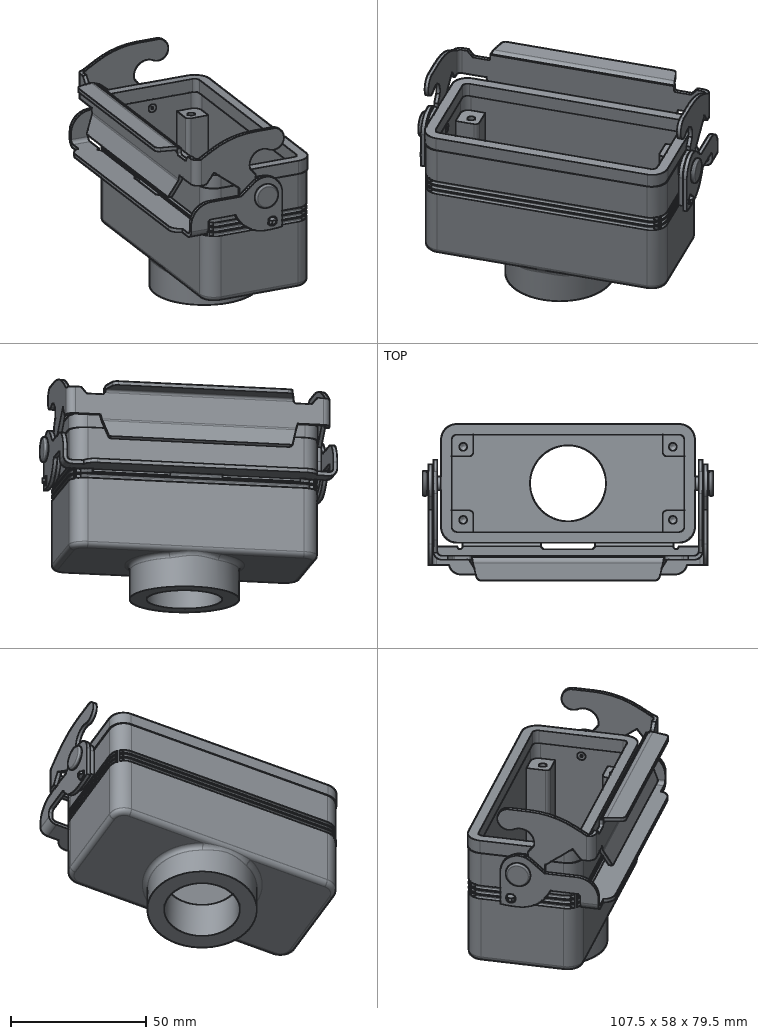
import cadquery as cq
import math


BODY_LENGTH = 93.5
BODY_WIDTH = 43.5
BODY_BOTTOM = 13.0
CORNER_RADIUS = 6.0
BOTTOM_FILLET = 2.0
WALL = 3.0

RIM_STEP = 0.25
RIM_TOP = 63.6
RIM_HEIGHT = 5.3
RIM_WALL = 4.0

ENTRY_DIAMETER = 40.5
ENTRY_BORE = 28.0
ENTRY_FLARE = 1.9

GROOVE_COUNT = 3
GROOVE_PITCH = 2.0
GROOVE_WIDTH = 1.5
GROOVE_DEPTH = 0.95
GROOVE_FILLET = 0.45
TOP_GROOVE_Z = 43.95

POST_SPACING_X = 77.5
POST_SPACING_Y = 27.0
POST_INNER_X = 35.0
POST_INNER_Y = 10.0
POST_TOP = RIM_TOP - 12.0
POST_FILLET = 1.6
SCREW_HOLE_DIAMETER = 2.9
SCREW_HOLE_DEPTH = 10.0
DRILL_POINT_ANGLE = 118.0

SELECTION_MARGIN = 0.1

SHEET = 1.5
BEND_OUTER = 3.0
BEND_INNER = BEND_OUTER - SHEET
PIVOT_Z = 54.5

PIN_DIAMETER = 5.2
PIN_TIP_DIAMETER = 3.2
PIN_CENTRE_DIAMETER = 0.8
PIN_CENTRE_DEPTH = 0.5
PIN_HEAD_DIAMETER = 9.4
PIN_HEAD_THICKNESS = 1.65
PIN_HEAD_FILLET = 0.7
PIN_END_X = 53.75

LEVER_OUTER_X = 49.75
LEVER_FRONT_Y = -28.2
LEVER_TOP = 79.5
LEVER_WEB_TOP = 72.05
LEVER_WEB_BOTTOM = 61.95
LEVER_TIP_RADIUS = 4.3
LEVER_TIP_Y = 4.45
LEVER_CREST_Y = -3.6
LEVER_CREST_RADIUS = 34.5
LEVER_SLOPE = 30.0
LEVER_HOOK_RADIUS = 5.35
LEVER_HOOK_Z = 66.75
LEVER_EYE_RADIUS = 6.4
LEVER_HOOK_START = 60.0
LEVER_HOOK_END = 195.0
LEVER_WEB_FOOT_Y = -23.2
LEVER_NICK_Y = -20.0
LEVER_NICK_Z = 66.1
LEVER_BACK_Y = -9.4
LEVER_BACK_TOP = 57.95
LEVER_LOBE_TOP = 52.7
LEVER_LOBE_MIDDLE = (-6.5, 45.2)
LEVER_THROAT_Y = -2.9
LEVER_THROAT_TOP = 62.5
LEVER_LOBE_BOTTOM = 42.3

FLANGE_TIP_Y = -35.98
FLANGE_TOP = 72.9
FLANGE_BEND_INNER = 1.1
FLANGE_BEND_OUTER = FLANGE_BEND_INNER + SHEET
FLANGE_ROOT_X = 35.7
FLANGE_TIP_X = 33.6
FLANGE_TIP_FILLET = 2.0

SCALLOP_BOTTOM = 69.6
SCALLOP_TOP_X = 44.5
SCALLOP_OUTER_X = 42.4
SCALLOP_FILLET = 0.8

SKIRT_BEND_Z = 59.9
SKIRT_BOTTOM = 52.3
SKIRT_ANGLE = 25.6
SKIRT_ROOT_X = 37.2
SKIRT_TIP_X = 34.4
SKIRT_TIP_FILLET = 1.5

BRACKET_OUTER_X = 51.65
BRACKET_EYE_RADIUS = 7.1
BRACKET_EYE_END = 132.0
BRACKET_BOTTOM = 40.3
BRACKET_BACK_BOTTOM = 40.7
BRACKET_LOBE_START_Y = -12.0
BRACKET_LOBE_MIDDLE = (-5.8, 41.8)
BRACKET_ARM_START_Y = -9.85
BRACKET_ARM_TOP = 55.5
BRACKET_ARM_BOTTOM = 48.6
BRACKET_ARM_RADIUS = 8.0
BRACKET_ARM_FILLET = 1.3
HANDLE_BOTTOM = 42.1
HANDLE_BACK_Y = -23.3
HANDLE_SIDE_Y = -30.25
HANDLE_FRONT_Y = -33.75
HANDLE_FRONT_X = 39.5
HANDLE_STEP_X = 44.0
NOTCH_X = 39.95
NOTCH_RADIUS = 0.9
FINGER_SLOT_HALF = 9.9
FINGER_SLOT_Y = -24.3
FINGER_SLOT_CHAMFER = 0.8
LIP_TIP_Y = -21.85
LIP_BOTTOM = 41.2
LIP_DROP = 1.1

STOP_Y = 3.1
STOP_Z = 43.5
STOP_WIDTH = 3.0
STOP_HEIGHT = 1.45
STOP_CHAMFER = 0.8
STOP_END_X = 52.9
STOP_HOLE_DIAMETER = 3.7


def rounded_block(length, width, radius, bottom, top):
    """Block centred on the Z axis with rounded vertical edges."""
    block = cq.Workplane("XY", origin=(0, 0, bottom)).rect(length, width).extrude(top - bottom)
    return block.edges("|Z").fillet(radius)


def box_between(low, high):
    """Axis-aligned box between two opposite corners."""
    size = [b - a for a, b in zip(low, high)]
    return cq.Workplane("XY", origin=low).box(*size, centered=False)


def across(outline, half_width):
    """Extrude a YZ outline to both sides of the X = 0 plane."""
    return outline.extrude(half_width, both=True)


def both_sides(shape):
    """The shape together with its mirror image about X = 0."""
    return [shape, shape.mirror("YZ")]


def rod(diameter, start_x, end_x, y=0.0, z=PIVOT_Z):
    """Cylinder parallel to X."""
    return cq.Workplane("YZ", origin=(start_x, y, z)).circle(diameter / 2).extrude(end_x - start_x)


RIM_BOTTOM = RIM_TOP - RIM_HEIGHT
RIM_LENGTH = BODY_LENGTH + 2 * RIM_STEP
RIM_WIDTH = BODY_WIDTH + 2 * RIM_STEP
CAVITY_LENGTH = BODY_LENGTH - 2 * WALL
CAVITY_WIDTH = BODY_WIDTH - 2 * WALL
CAVITY_FLOOR = BODY_BOTTOM + WALL
CAVITY_RADIUS = CORNER_RADIUS - WALL


def entry_joint():
    """Selector for the edges where the round cable entry meets the underside of the body."""
    reach = ENTRY_DIAMETER / 2 + SELECTION_MARGIN
    return cq.selectors.BoxSelector(
        (-reach, -reach, BODY_BOTTOM - SELECTION_MARGIN),
        (reach, reach, BODY_BOTTOM + BOTTOM_FILLET / 2),
        boundingbox=True,
    )


def sealing_groove(centre_z):
    """Ring-shaped cutter for one groove around the body."""
    low = centre_z - GROOVE_WIDTH / 2
    high = centre_z + GROOVE_WIDTH / 2
    core = rounded_block(
        BODY_LENGTH - 2 * GROOVE_DEPTH,
        BODY_WIDTH - 2 * GROOVE_DEPTH,
        CORNER_RADIUS - GROOVE_DEPTH,
        low,
        high,
    )
    slab = cq.Workplane("XY", origin=(0, 0, low)).rect(RIM_LENGTH, RIM_WIDTH).extrude(GROOVE_WIDTH)
    ring = slab.cut(core)
    inner = cq.selectors.BoxSelector(
        (-BODY_LENGTH / 2 + GROOVE_DEPTH / 2, -BODY_WIDTH / 2 + GROOVE_DEPTH / 2, low - SELECTION_MARGIN),
        (BODY_LENGTH / 2 - GROOVE_DEPTH / 2, BODY_WIDTH / 2 - GROOVE_DEPTH / 2, high + SELECTION_MARGIN),
        boundingbox=True,
    )
    return ring.faces("<Z or >Z").edges(inner).fillet(GROOVE_FILLET)


def screw_post():
    """Corner post for a contact insert, reaching into the cavity corner."""
    post = box_between(
        (POST_INNER_X, POST_INNER_Y, CAVITY_FLOOR),
        (CAVITY_LENGTH / 2 + WALL / 2, CAVITY_WIDTH / 2 + WALL / 2, POST_TOP),
    )
    post = post.edges("|Z and <X and <Y").fillet(POST_FILLET)
    envelope = rounded_block(BODY_LENGTH, BODY_WIDTH, CORNER_RADIUS, CAVITY_FLOOR, POST_TOP)
    radius = SCREW_HOLE_DIAMETER / 2
    point = radius / math.tan(math.radians(DRILL_POINT_ANGLE / 2))
    hole = (
        cq.Workplane("XZ")
        .polyline([(0, 0), (radius, 0), (radius, -SCREW_HOLE_DEPTH), (0, -SCREW_HOLE_DEPTH - point)])
        .close()
        .revolve(360, (0, 0, 0), (0, 1, 0))
        .translate((POST_SPACING_X / 2, POST_SPACING_Y / 2, POST_TOP))
    )
    return post.intersect(envelope).cut(hole)


def make_housing():
    body = rounded_block(BODY_LENGTH, BODY_WIDTH, CORNER_RADIUS, BODY_BOTTOM, RIM_TOP)
    body = body.faces("<Z").edges().fillet(BOTTOM_FILLET)
    body = body.union(cq.Workplane("XY").circle(ENTRY_DIAMETER / 2).extrude(CAVITY_FLOOR))
    body = body.edges(entry_joint()).fillet(ENTRY_FLARE)
    body = body.union(rounded_block(RIM_LENGTH, RIM_WIDTH, CORNER_RADIUS, RIM_BOTTOM, RIM_TOP))
    for index in range(GROOVE_COUNT):
        body = body.cut(sealing_groove(TOP_GROOVE_Z - index * GROOVE_PITCH))

    body = body.cut(rounded_block(CAVITY_LENGTH, CAVITY_WIDTH, CAVITY_RADIUS, CAVITY_FLOOR, RIM_BOTTOM))
    body = body.cut(
        rounded_block(
            RIM_LENGTH - 2 * RIM_WALL,
            RIM_WIDTH - 2 * RIM_WALL,
            CORNER_RADIUS - RIM_WALL,
            CAVITY_FLOOR,
            RIM_TOP,
        )
    )
    body = body.cut(cq.Workplane("XY").circle(ENTRY_BORE / 2).extrude(RIM_TOP))

    for post in both_sides(screw_post()):
        body = body.union(post).union(post.mirror("XZ"))
    return body.cut(rod(PIN_TIP_DIAMETER, -BODY_LENGTH, BODY_LENGTH))


LEVER_INNER_Y = LEVER_FRONT_Y + SHEET


def lever_side_outline():
    """Side profile of the lever: hook, pivot eye and the end of the front web."""
    tip_z = LEVER_TOP - LEVER_TIP_RADIUS
    slope = math.radians(LEVER_SLOPE)

    def crest(angle):
        return (
            LEVER_CREST_Y - LEVER_CREST_RADIUS * math.sin(angle),
            LEVER_TOP - LEVER_CREST_RADIUS * (1 - math.cos(angle)),
        )

    def hook(angle):
        angle = math.radians(angle)
        return (LEVER_HOOK_RADIUS * math.cos(angle), LEVER_HOOK_Z + LEVER_HOOK_RADIUS * math.sin(angle))

    crest_end = crest(slope)
    web_start_y = crest_end[0] - (crest_end[1] - LEVER_WEB_TOP) / math.tan(slope)
    eye_turn = LEVER_EYE_RADIUS * math.sqrt(0.5)
    hook_middle = (LEVER_HOOK_START + LEVER_HOOK_END) / 2
    return (
        cq.Workplane("YZ")
        .moveTo(LEVER_TIP_Y, LEVER_TOP)
        .lineTo(LEVER_CREST_Y, LEVER_TOP)
        .threePointArc(crest(slope / 2), crest_end)
        .lineTo(web_start_y, LEVER_WEB_TOP)
        .lineTo(LEVER_FRONT_Y, LEVER_WEB_TOP)
        .lineTo(LEVER_FRONT_Y, LEVER_WEB_BOTTOM)
        .lineTo(LEVER_WEB_FOOT_Y, LEVER_WEB_BOTTOM)
        .lineTo(LEVER_NICK_Y, LEVER_NICK_Z)
        .lineTo(LEVER_BACK_Y, LEVER_BACK_TOP)
        .lineTo(LEVER_BACK_Y, LEVER_LOBE_TOP)
        .threePointArc(LEVER_LOBE_MIDDLE, (0, LEVER_LOBE_BOTTOM))
        .lineTo(LEVER_EYE_RADIUS, LEVER_LOBE_BOTTOM)
        .lineTo(LEVER_EYE_RADIUS, PIVOT_Z)
        .threePointArc((eye_turn, PIVOT_Z + eye_turn), (0, PIVOT_Z + LEVER_EYE_RADIUS))
        .lineTo(LEVER_THROAT_Y, PIVOT_Z + LEVER_EYE_RADIUS)
        .lineTo(LEVER_THROAT_Y, LEVER_THROAT_TOP)
        .lineTo(*hook(LEVER_HOOK_END))
        .threePointArc(hook(hook_middle), hook(LEVER_HOOK_START))
        .threePointArc((LEVER_TIP_Y + LEVER_TIP_RADIUS, tip_z), (LEVER_TIP_Y, LEVER_TOP))
        .close()
    )


def lever_channel():
    """Upright U-shaped sheet: two side walls joined by the front web with round bends."""
    depth = LEVER_TIP_Y + LEVER_TIP_RADIUS + SHEET - LEVER_FRONT_Y

    def block(inset, radius):
        half = LEVER_OUTER_X - inset
        solid = box_between(
            (-half, LEVER_FRONT_Y + inset, LEVER_LOBE_BOTTOM),
            (half, LEVER_FRONT_Y + depth, LEVER_TOP),
        )
        return solid.edges("|Z and <Y").fillet(radius)

    return block(0, BEND_OUTER).cut(block(SHEET, BEND_INNER))


def web_scallop():
    """Cutter for the dip in the web's top edge beside the top flange."""
    cutter = (
        cq.Workplane("XZ")
        .polyline(
            [
                (SCALLOP_TOP_X, LEVER_WEB_TOP),
                (SCALLOP_OUTER_X, SCALLOP_BOTTOM),
                (FLANGE_ROOT_X, SCALLOP_BOTTOM),
                (FLANGE_ROOT_X, LEVER_WEB_TOP),
            ]
        )
        .close()
        .extrude(-2 * LEVER_FRONT_Y, both=True)
    )
    cutter = cutter.edges("|Y and <Z").fillet(SCALLOP_FILLET)
    return cutter.intersect(
        box_between((0, LEVER_FRONT_Y, SCALLOP_BOTTOM), (SCALLOP_TOP_X, LEVER_INNER_Y, LEVER_WEB_TOP))
    )


def top_flange():
    """Thumb flange bent outward from the top of the web, tapering toward its tip."""
    bend_y = LEVER_FRONT_Y - FLANGE_BEND_INNER
    bend_z = FLANGE_TOP - FLANGE_BEND_OUTER
    turn = math.sqrt(0.5)
    profile = (
        cq.Workplane("YZ")
        .moveTo(LEVER_FRONT_Y, SCALLOP_BOTTOM)
        .lineTo(LEVER_FRONT_Y, bend_z)
        .threePointArc(
            (bend_y + FLANGE_BEND_INNER * turn, bend_z + FLANGE_BEND_INNER * turn),
            (bend_y, bend_z + FLANGE_BEND_INNER),
        )
        .lineTo(FLANGE_TIP_Y, FLANGE_TOP - SHEET)
        .lineTo(FLANGE_TIP_Y, FLANGE_TOP)
        .lineTo(bend_y, FLANGE_TOP)
        .threePointArc(
            (bend_y + FLANGE_BEND_OUTER * turn, bend_z + FLANGE_BEND_OUTER * turn),
            (LEVER_INNER_Y, bend_z),
        )
        .lineTo(LEVER_INNER_Y, SCALLOP_BOTTOM)
        .close()
    )
    plan = (
        cq.Workplane("XY", origin=(0, 0, SCALLOP_BOTTOM))
        .polyline(
            [
                (-FLANGE_ROOT_X, LEVER_INNER_Y),
                (-FLANGE_TIP_X, FLANGE_TIP_Y),
                (FLANGE_TIP_X, FLANGE_TIP_Y),
                (FLANGE_ROOT_X, LEVER_INNER_Y),
            ]
        )
        .close()
        .extrude(FLANGE_TOP - SCALLOP_BOTTOM)
        .edges("|Z and <Y")
        .fillet(FLANGE_TIP_FILLET)
    )
    return across(profile, FLANGE_ROOT_X).intersect(plan)


def lower_skirt():
    """Apron hanging from the web, kicked outward below its bend line."""
    slant = math.radians(SKIRT_ANGLE)
    inner_bend_z = SKIRT_BEND_Z - SHEET * math.tan(slant / 2)
    inner_tip_y = LEVER_INNER_Y - (inner_bend_z - SKIRT_BOTTOM) * math.tan(slant)
    outer_tip_y = inner_tip_y - SHEET * math.cos(slant)
    outer_tip_z = SKIRT_BOTTOM + SHEET * math.sin(slant)
    profile = (
        cq.Workplane("YZ")
        .polyline(
            [
                (LEVER_FRONT_Y, LEVER_WEB_BOTTOM),
                (LEVER_FRONT_Y, SKIRT_BEND_Z),
                (outer_tip_y, outer_tip_z),
                (inner_tip_y, SKIRT_BOTTOM),
                (LEVER_INNER_Y, inner_bend_z),
                (LEVER_INNER_Y, LEVER_WEB_BOTTOM),
            ]
        )
        .close()
    )
    front = (
        cq.Workplane("XZ")
        .polyline(
            [
                (-SKIRT_ROOT_X, LEVER_WEB_BOTTOM),
                (-SKIRT_TIP_X, SKIRT_BOTTOM),
                (SKIRT_TIP_X, SKIRT_BOTTOM),
                (SKIRT_ROOT_X, LEVER_WEB_BOTTOM),
            ]
        )
        .close()
        .extrude(-2 * LEVER_FRONT_Y, both=True)
        .edges("|Y and <Z")
        .fillet(SKIRT_TIP_FILLET)
    )
    skirt = across(profile, SKIRT_ROOT_X)
    bend_edges = [
        (LEVER_FRONT_Y, SKIRT_BEND_Z, BEND_INNER),
        (LEVER_INNER_Y, inner_bend_z, BEND_OUTER),
    ]
    for y, z, radius in bend_edges:
        skirt = skirt.edges(cq.selectors.NearestToPointSelector((0, y, z))).fillet(radius)
    return skirt.intersect(front)


def make_lever():
    lever = lever_channel().intersect(across(lever_side_outline(), LEVER_OUTER_X))
    for scallop in both_sides(web_scallop()):
        lever = lever.cut(scallop)
    return lever.union(top_flange()).union(lower_skirt())


HANDLE_TOP = HANDLE_BOTTOM + SHEET


def bracket_side_outline():
    """Side profile of the bracket: pivot eye with stop lobe and an arm curving down to the handle."""
    tangent_angle = math.radians(BRACKET_EYE_END)
    eye_end = (
        BRACKET_EYE_RADIUS * math.cos(tangent_angle),
        PIVOT_Z + BRACKET_EYE_RADIUS * math.sin(tangent_angle),
    )
    turn = BRACKET_ARM_RADIUS * math.sqrt(0.5)
    arm_bend_y = HANDLE_SIDE_Y + BRACKET_ARM_RADIUS
    arm_bend_z = BRACKET_ARM_TOP - BRACKET_ARM_RADIUS
    return (
        cq.Workplane("YZ")
        .moveTo(BRACKET_EYE_RADIUS, BRACKET_BACK_BOTTOM)
        .lineTo(BRACKET_EYE_RADIUS, PIVOT_Z)
        .threePointArc((0, PIVOT_Z + BRACKET_EYE_RADIUS), eye_end)
        .lineTo(BRACKET_ARM_START_Y, BRACKET_ARM_TOP)
        .lineTo(arm_bend_y, BRACKET_ARM_TOP)
        .threePointArc((arm_bend_y - turn, arm_bend_z + turn), (HANDLE_SIDE_Y, arm_bend_z))
        .lineTo(HANDLE_SIDE_Y, HANDLE_BOTTOM)
        .lineTo(HANDLE_BACK_Y, HANDLE_BOTTOM)
        .lineTo(HANDLE_BACK_Y, BRACKET_ARM_BOTTOM - BRACKET_ARM_FILLET)
        .radiusArc((HANDLE_BACK_Y + BRACKET_ARM_FILLET, BRACKET_ARM_BOTTOM), BRACKET_ARM_FILLET)
        .lineTo(BRACKET_LOBE_START_Y, BRACKET_ARM_BOTTOM)
        .threePointArc(BRACKET_LOBE_MIDDLE, (0, BRACKET_BOTTOM))
        .tangentArcPoint((BRACKET_EYE_RADIUS, BRACKET_BACK_BOTTOM), relative=False)
        .close()
    )


def bracket_channel():
    """U-shaped sheet open at the top: two side walls joined by the handle with round bends."""

    def block(inset, radius):
        half = BRACKET_OUTER_X - inset
        solid = box_between(
            (-half, HANDLE_SIDE_Y, HANDLE_BOTTOM + inset),
            (half, HANDLE_BACK_Y, BRACKET_ARM_TOP),
        )
        return solid.edges("|Y and <Z").fillet(radius)

    return block(0, BEND_OUTER).cut(block(SHEET, BEND_INNER))


def side_wall():
    """Flat sheet behind the handle, on the +X side."""
    return box_between(
        (BRACKET_OUTER_X - SHEET, HANDLE_BACK_Y, BRACKET_BOTTOM - SHEET),
        (BRACKET_OUTER_X, BRACKET_EYE_RADIUS, PIVOT_Z + BRACKET_EYE_RADIUS),
    )


def handle_front():
    """Forward extension of the handle, with rounded shoulders."""
    rise_x = HANDLE_STEP_X - HANDLE_FRONT_X
    rise_y = HANDLE_SIDE_Y - HANDLE_FRONT_Y
    radius = (rise_x**2 + rise_y**2) / (2 * rise_y)
    return (
        cq.Workplane("XY", origin=(0, 0, HANDLE_BOTTOM))
        .moveTo(-HANDLE_STEP_X, HANDLE_SIDE_Y)
        .radiusArc((-HANDLE_FRONT_X, HANDLE_FRONT_Y), -radius)
        .lineTo(HANDLE_FRONT_X, HANDLE_FRONT_Y)
        .radiusArc((HANDLE_STEP_X, HANDLE_SIDE_Y), -radius)
        .close()
        .extrude(SHEET)
    )


def handle_lip():
    """Lip bent down along the back edge of the handle."""
    profile = (
        cq.Workplane("YZ")
        .polyline(
            [
                (HANDLE_BACK_Y, HANDLE_TOP),
                (LIP_TIP_Y, HANDLE_TOP - LIP_DROP),
                (LIP_TIP_Y, LIP_BOTTOM),
                (HANDLE_BACK_Y, LIP_BOTTOM),
            ]
        )
        .close()
    )
    return across(profile, NOTCH_X - NOTCH_RADIUS)


def finger_slot():
    """Cutter for the slot in the middle of the handle's back edge."""
    slot = box_between(
        (-FINGER_SLOT_HALF, FINGER_SLOT_Y, BRACKET_BOTTOM),
        (FINGER_SLOT_HALF, LIP_TIP_Y, BRACKET_ARM_BOTTOM),
    )
    return slot.edges("|Z and <Y").chamfer(FINGER_SLOT_CHAMFER)


def relief_notch():
    """Round-ended cutter at the end of the lip, on the +X side."""
    centre_y = FINGER_SLOT_Y + NOTCH_RADIUS
    round_end = (
        cq.Workplane("XY", origin=(NOTCH_X, centre_y, BRACKET_BOTTOM))
        .circle(NOTCH_RADIUS)
        .extrude(BRACKET_ARM_BOTTOM - BRACKET_BOTTOM)
    )
    mouth = box_between(
        (NOTCH_X - NOTCH_RADIUS, centre_y, BRACKET_BOTTOM),
        (NOTCH_X + NOTCH_RADIUS, LIP_TIP_Y, BRACKET_ARM_BOTTOM),
    )
    return round_end.union(mouth)


def make_bracket():
    sheet = bracket_channel()
    for wall in both_sides(side_wall()):
        sheet = sheet.union(wall)
    bracket = sheet.intersect(across(bracket_side_outline(), BRACKET_OUTER_X))
    bracket = bracket.union(handle_front()).union(handle_lip()).cut(finger_slot())
    for notch in both_sides(relief_notch()):
        bracket = bracket.cut(notch)
    return bracket.cut(rod(STOP_HOLE_DIAMETER, -PIN_END_X, PIN_END_X, STOP_Y, STOP_Z))


def pivot_pin():
    """Headed pin on the +X side: shank through the sheets, slimmer tip through the housing wall."""
    head_start = PIN_END_X - PIN_HEAD_THICKNESS
    head = rod(PIN_HEAD_DIAMETER, head_start, PIN_END_X).edges().fillet(PIN_HEAD_FILLET)
    shank = rod(PIN_DIAMETER, BODY_LENGTH / 2, head_start)
    tip = rod(PIN_TIP_DIAMETER, CAVITY_LENGTH / 2, BODY_LENGTH / 2)
    centre_mark = rod(PIN_CENTRE_DIAMETER, CAVITY_LENGTH / 2, CAVITY_LENGTH / 2 + PIN_CENTRE_DEPTH)
    return head.union(shank).union(tip).cut(centre_mark)


def lever_stop():
    """Tab standing out from the lever through the bracket's round hole, on the +X side."""
    tab = box_between(
        (LEVER_OUTER_X, STOP_Y - STOP_WIDTH / 2, STOP_Z - STOP_HEIGHT / 2),
        (STOP_END_X, STOP_Y + STOP_WIDTH / 2, STOP_Z + STOP_HEIGHT / 2),
    )
    return tab.edges("|Z and >X").chamfer(STOP_CHAMFER)


def make_latch():
    latch = make_lever()
    for part in both_sides(pivot_pin()) + both_sides(lever_stop()):
        latch = latch.union(part)
    return latch.union(make_bracket())


housing = make_housing()
latch = make_latch()
result = cq.Compound.makeCompound([housing.solids().val(), latch.solids().val()])